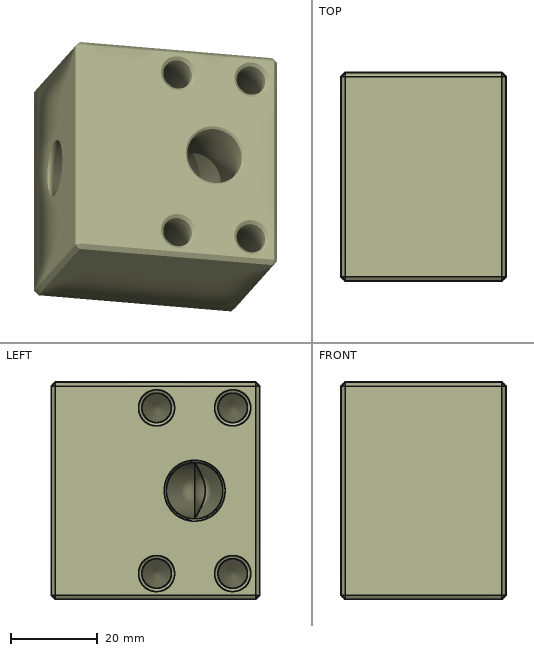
import cadquery as cq
import math

LENGTH_X = 38.0
LENGTH_Y = 48.0
LENGTH_Z = 50.0
EDGE_CHAMFER = 1.0

BORE_DIAMETER = 13.0
BORE_MOUTH_CHAMFER = 0.5
PORT_FROM_MINUS_Y = 15.0
PORT_Y = PORT_FROM_MINUS_Y - LENGTH_Y / 2
BORE_CROSSING_X = 0.0

BOLT_HOLE_DIAMETER = 6.8
BOLT_MOUTH_DIAMETER = 8.3
BOLT_MOUTH_CHAMFER = (BOLT_MOUTH_DIAMETER - BOLT_HOLE_DIAMETER) / 2
BOLT_HOLE_DEPTH = 16.0
BOLT_SPACING_Y = 17.5
BOLT_SPACING_Z = 38.1

DRILL_POINT_ANGLE = 118.0


def drilled_hole(diameter, depth, mouth_chamfer=0.0):
    """Hole along +X with its mouth at the origin: full diameter to depth, then a drill point."""
    radius = diameter / 2
    point_length = radius / math.tan(math.radians(DRILL_POINT_ANGLE / 2))
    profile = cq.Workplane("XY").lineTo(0, radius + mouth_chamfer)
    if mouth_chamfer > 0:
        profile = profile.lineTo(mouth_chamfer, radius)
    profile = profile.lineTo(depth, radius).lineTo(depth + point_length, 0).close()
    return profile.revolve(360, (0, 0, 0), (1, 0, 0))


block = cq.Workplane("XY").box(LENGTH_X, LENGTH_Y, LENGTH_Z).edges().chamfer(EDGE_CHAMFER)

port_face_x = -LENGTH_X / 2
port_bore = drilled_hole(BORE_DIAMETER, BORE_CROSSING_X - port_face_x, BORE_MOUTH_CHAMFER)
port_bore = port_bore.translate((port_face_x, PORT_Y, 0))

cross_face_y = LENGTH_Y / 2
cross_bore = drilled_hole(BORE_DIAMETER, cross_face_y - PORT_Y)
cross_bore = cross_bore.rotate((0, 0, 0), (0, 0, 1), -90)
cross_bore = cross_bore.translate((BORE_CROSSING_X, cross_face_y, 0))

result = block.cut(port_bore.union(cross_bore))

bolt_hole = drilled_hole(BOLT_HOLE_DIAMETER, BOLT_HOLE_DEPTH, BOLT_MOUTH_CHAMFER)
for side_y in (-1, 1):
    for side_z in (-1, 1):
        hole_y = PORT_Y + side_y * BOLT_SPACING_Y / 2
        hole_z = side_z * BOLT_SPACING_Z / 2
        result = result.cut(bolt_hole.translate((port_face_x, hole_y, hole_z)))